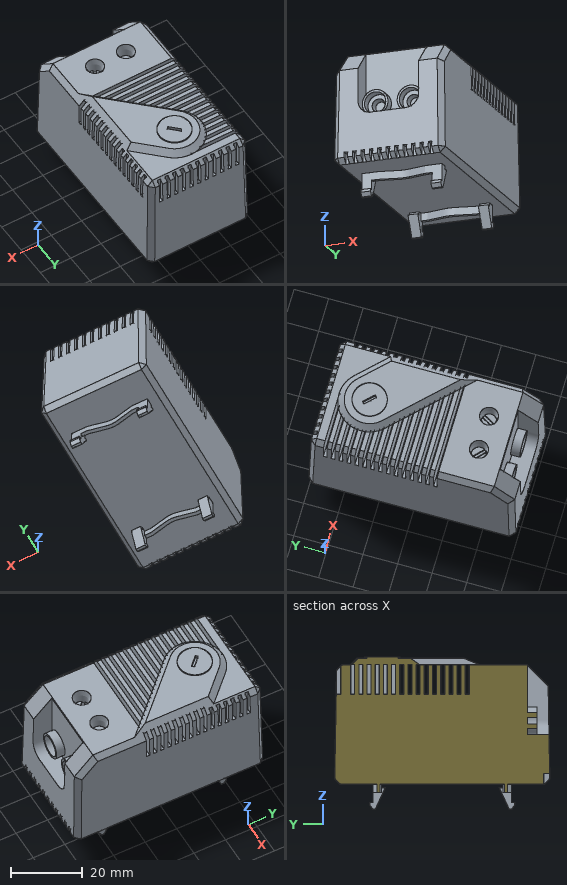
import cadquery as cq
import math

length = 59.9
width = 33.1
height = 33.35
edge_chamfer = 1.55
draft_angle = 1.0
draft_slope = math.tan(math.radians(draft_angle))
nose_drop = 6.0
nose_edge_y = -23.55

vent_width = 1.0
vent_depth = 8.25
vent_floor = height - vent_depth
side_vent_count = 15
blind_vent_count = 6
side_vent_pitch = 2.3
rear_side_vent_y = 24.9
end_vent_count = 11
end_vent_pitch = 2.5
wall_notch = 1.7
foot_vent_height = 3.05

knob_y = 16.65
knob_radius = 8.85
knob_height = 1.8
knob_bevel_angle = 45.0
dial_radius = 4.9
dial_height = 0.35
dial_slot_length = 3.95
dial_slot_width = 0.85
dial_slot_depth = 0.9
dial_slot_angle = -45.0

terminal_x = 5.2
terminal_z = 17.8
collar_radius = 3.85
collar_length = 2.65
collar_bore_radius = 3.2
wire_hole_radius = 1.9
wire_hole_end_radius = 1.55
wire_hole_depth = 1.8
recess_wall_y = -23.7

screw_x = 5.1
screw_y = -16.4
access_radius = 2.65
screw_radius = 2.15
access_depth = 4.2
access_taper_depth = 1.8
screw_slot_width = 0.9
screw_slot_depth = 0.6
screw_slot_angles = {-screw_x: -43.0, screw_x: 60.0}

clip_depth = 6.9
clip_outer_y = 19.3
clip_inner_y = 16.9
catch_tip_y = 15.8
catch_z = -0.9
foot_inner_y = 18.55
foot_outer_y = 19.35
lip_y = 20.2
lip_top_z = -5.0
lip_bottom_z = -5.75
leg_outer_x = 12.0
leg_inner_x = 9.05
spring_height = 2.3
spring_thickness = 1.1
spring_bend_x = 7.0
spring_arc_x = 1.8
spring_angle = math.radians(12.0)


def block(x0, x1, y0, y1, z0, z1):
    return cq.Workplane("XY").box(x1 - x0, y1 - y0, z1 - z0, centered=False).translate((x0, y0, z0))


def make_housing():
    bottom_outset = draft_slope * edge_chamfer
    body = (
        cq.Workplane("XY")
        .rect(width + 2 * bottom_outset, length + 2 * bottom_outset)
        .extrude(height, taper=draft_angle)
    )
    nose = (
        cq.Workplane("YZ")
        .moveTo(nose_edge_y, height)
        .lineTo(nose_edge_y - 2 * nose_drop, height - 2 * nose_drop)
        .lineTo(nose_edge_y - 2 * nose_drop, height)
        .close()
        .extrude(width, both=True)
    )
    body = body.cut(nose)
    nose_edges = [
        edge for edge in body.edges("|X").vals()
        if edge.Center().y < nose_edge_y + nose_drop / 2 and edge.Center().z > height / 2
    ]
    other_edges = [
        edge for edge in body.edges().vals()
        if not any(edge.isSame(skipped) for skipped in nose_edges)
    ]
    return body.newObject(other_edges).chamfer(edge_chamfer)


def cut_vents(body):
    half_vent = vent_width / 2
    for i in range(side_vent_count):
        y = rear_side_vent_y - i * side_vent_pitch
        y0, y1 = y - half_vent, y + half_vent
        if i < blind_vent_count:
            body = body.cut(block(-width, 0, y0, y1, vent_floor, height))
            body = body.cut(block(width / 2 - wall_notch, width, y0, y1, vent_floor, height))
        else:
            body = body.cut(block(-width, width, y0, y1, vent_floor, height))
    for i in range(end_vent_count):
        x = (i - (end_vent_count - 1) / 2) * end_vent_pitch
        x0, x1 = x - half_vent, x + half_vent
        wall_y = length / 2 - wall_notch
        body = body.cut(block(x0, x1, wall_y, length, vent_floor, height))
        body = body.cut(block(x0, x1, -length, -wall_y, 0, foot_vent_height))
    return body


def make_knob():
    top_half_width = width / 2 - draft_slope * (height - edge_chamfer)
    end_x = top_half_width - edge_chamfer
    tangent = knob_radius * math.sqrt(0.5)
    run = end_x - tangent
    fall = end_x + tangent
    knob = (
        cq.Workplane("XY", origin=(0, knob_y, height))
        .moveTo(end_x, tangent - run)
        .lineTo(tangent, tangent)
        .threePointArc((-tangent, tangent), (-tangent, -tangent))
        .lineTo(end_x, -tangent - fall)
        .close()
        .extrude(knob_height, taper=knob_bevel_angle)
    )
    dial = (
        cq.Workplane("XY", origin=(0, knob_y, height + knob_height))
        .circle(dial_radius)
        .extrude(dial_height)
    )
    slot = (
        cq.Workplane("XY", origin=(0, knob_y, height + knob_height + dial_height))
        .transformed(rotate=(0, 0, dial_slot_angle))
        .rect(dial_slot_length, dial_slot_width)
        .extrude(-dial_slot_depth)
    )
    return knob.union(dial).cut(slot)


def terminal_cylinder(x, radius):
    """Cylinder on a terminal axis, as long as the collar, standing out from the recess wall."""
    return cq.Workplane("XZ", origin=(x, recess_wall_y, terminal_z)).circle(radius).extrude(collar_length)


def cut_terminal_recess(body):
    half_width = terminal_x + collar_radius
    floor_z = terminal_z - collar_radius
    recess = (
        block(-half_width, half_width, -length, recess_wall_y, floor_z, height)
        .edges("|Y and <Z")
        .fillet(collar_radius)
    )
    body = body.cut(recess)
    for x in (-terminal_x, terminal_x):
        collar = terminal_cylinder(x, collar_radius)
        bore = terminal_cylinder(x, collar_bore_radius)
        wire_hole = cq.Workplane(
            cq.Solid.makeCone(
                wire_hole_radius,
                wire_hole_end_radius,
                wire_hole_depth,
                cq.Vector(x, recess_wall_y, terminal_z),
                cq.Vector(0, 1, 0),
            )
        )
        body = body.union(collar).cut(bore).cut(wire_hole)
    return body


def cut_screw_holes(body):
    for x, angle in screw_slot_angles.items():
        access = (
            cq.Workplane("XY", origin=(x, screw_y, height))
            .circle(access_radius)
            .workplane(offset=-access_taper_depth)
            .circle(screw_radius)
            .loft()
            .faces("<Z")
            .workplane()
            .circle(screw_radius)
            .extrude(access_depth - access_taper_depth)
        )
        head_plane = cq.Workplane("XY", origin=(x, screw_y, height - access_depth))
        head = head_plane.circle(screw_radius).extrude(-screw_slot_depth)
        screw_slot = (
            head_plane
            .transformed(rotate=(0, 0, angle))
            .rect(2 * screw_radius, screw_slot_width)
            .extrude(-screw_slot_depth)
        )
        body = body.cut(access).cut(screw_slot.intersect(head))
    return body


def make_front_clip():
    leg_profile = [
        (-clip_inner_y, 0),
        (-clip_inner_y, catch_z),
        (-catch_tip_y, catch_z),
        (-foot_inner_y, -clip_depth),
        (-foot_outer_y, -clip_depth),
        (-lip_y, lip_bottom_z),
        (-lip_y, lip_top_z),
        (-clip_outer_y, lip_top_z),
        (-clip_outer_y, 0),
    ]
    leg = (
        cq.Workplane("YZ", origin=(leg_inner_x, 0, 0))
        .polyline(leg_profile)
        .close()
        .extrude(leg_outer_x - leg_inner_x)
    )
    slant = (spring_bend_x - spring_arc_x) * math.tan(spring_angle)
    crown = slant + spring_arc_x * math.tan(spring_angle / 2)
    outer_y = -clip_outer_y
    inner_y = outer_y + spring_thickness
    spring = (
        cq.Workplane("XY")
        .moveTo(-leg_inner_x, outer_y)
        .lineTo(-spring_bend_x, outer_y)
        .lineTo(-spring_arc_x, outer_y + slant)
        .threePointArc((0, outer_y + crown), (spring_arc_x, outer_y + slant))
        .lineTo(spring_bend_x, outer_y)
        .lineTo(leg_inner_x, outer_y)
        .lineTo(leg_inner_x, inner_y)
        .lineTo(spring_bend_x, inner_y)
        .lineTo(spring_arc_x, inner_y + slant)
        .threePointArc((0, inner_y + crown), (-spring_arc_x, inner_y + slant))
        .lineTo(-spring_bend_x, inner_y)
        .lineTo(-leg_inner_x, inner_y)
        .close()
        .extrude(-spring_height)
    )
    return spring.union(leg).union(leg.mirror("YZ"))


housing = cut_vents(make_housing())
housing = cut_terminal_recess(housing)
housing = cut_screw_holes(housing)
front_clip = make_front_clip()
rear_clip = front_clip.mirror("XZ")
result = housing.union(make_knob()).union(front_clip).union(rear_clip)